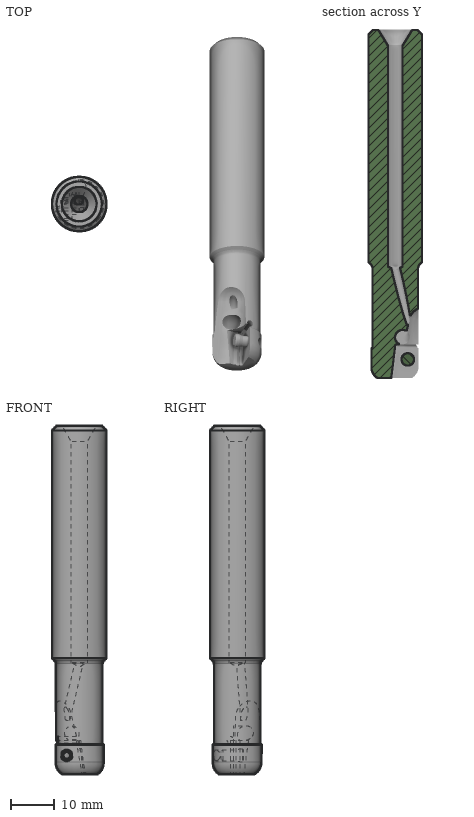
import cadquery as cq
import math

overall_length = 80.92
shank_radius = 12.7 / 2
top_chamfer = 1.1
neck_radius = 5.45
shoulder_z = 27.0
shoulder_fillet = 1.0
head_radius = 5.7
head_top_z = 6.85
head_step = head_radius - neck_radius
nose_start_z = 2.9
nose_mid_radius = 5.3
nose_mid_z = 1.15
nose_end_radius = 4.2

cone_mouth_radius = 4.0
bore_radius = 1.9
cone_half_angle = 30.0
drill_half_angle = 59.0
bore_floor_z = 26.0

flute_floor_x = 1.6
flute_tilt = 14.0
flute_wall_y = -0.6
flute_length = 18.8
flute_corner_radius = 5.1
flute_end_radius = 3.9

seat_floor_y = -1.6
seat_top_z = 7.8
seat_wall_x = 1.0
seat_lean = 7.0
seat_clearance_y = 0.6
seat_clearance_angle = 20.0
seat_groove_bottom_y = -0.85
seat_groove_top_y = -0.24
seat_groove_depth = 0.3

gullet_radius = 1.7
gullet_end_y = 2.3
gullet_tail_y = -0.9
gullet_depth_x = 0.0
relief_radius = 0.75
relief_y = -1.65
relief_z = 8.05

coolant_radius = 0.95
coolant_start = cq.Vector(0, 0.75, bore_floor_z)
coolant_exit = cq.Vector(-2.7, 1.6, 14.5)

screw_x = -2.9
screw_z = 4.4
screw_radius = 1.25
screw_head_radius = 1.5
screw_head_top_y = 1.47
screw_head_rim_y = 0.6
screw_head_base_y = -0.24
screw_head_chamfer = 0.3
screw_tip_y = -3.8
screw_tip_radius = 0.8

reach = 2 * shank_radius
edge_margin = 0.1


def turned_blank():
    """Shank, shoulder, neck and head with its rounded nose, revolved about Z."""
    neck_top_z = shoulder_z - (shank_radius - neck_radius)
    profile = (
        cq.Workplane("XZ")
        .moveTo(0, 0)
        .lineTo(nose_end_radius, 0)
        .threePointArc((nose_mid_radius, nose_mid_z), (head_radius, nose_start_z))
        .lineTo(head_radius, head_top_z)
        .lineTo(neck_radius, head_top_z + head_step)
        .lineTo(neck_radius, neck_top_z)
        .lineTo(shank_radius, shoulder_z)
        .lineTo(shank_radius, overall_length)
        .lineTo(0, overall_length)
        .close()
    )
    blank = profile.revolve(360, (0, 0, 0), (0, 1, 0))
    blank = blank.faces(">Z").edges().chamfer(top_chamfer)
    below_edge = (-reach, -reach, neck_top_z - edge_margin)
    above_edge = (reach, reach, neck_top_z + edge_margin)
    neck_corner = cq.selectors.BoxSelector(below_edge, above_edge, boundingbox=True)
    return blank.edges(neck_corner).fillet(shoulder_fillet)


def centre_bore():
    """Countersunk blind bore with a drill-point floor."""
    cone_depth = (cone_mouth_radius - bore_radius) / math.tan(math.radians(cone_half_angle))
    point_depth = bore_radius / math.tan(math.radians(drill_half_angle))
    return (
        cq.Workplane("XZ")
        .moveTo(0, bore_floor_z - point_depth)
        .lineTo(bore_radius, bore_floor_z)
        .lineTo(bore_radius, overall_length - cone_depth)
        .lineTo(cone_mouth_radius, overall_length)
        .lineTo(0, overall_length)
        .close()
        .revolve(360, (0, 0, 0), (0, 1, 0))
    )


def chip_flute():
    """Open-sided block, rounded along its inner edges and leaned over about Y."""
    block = cq.Workplane("XY").box(reach, reach, flute_length + reach, centered=False)
    block = block.translate((-reach, 0, -reach))
    block = block.edges("|Z and >X and <Y").fillet(flute_corner_radius)
    block = block.faces(">Z").edges("not(<X or >Y)").fillet(flute_end_radius)
    block = block.rotate((0, 0, 0), (0, 1, 0), -flute_tilt)
    return block.translate((flute_floor_x, flute_wall_y, 0))


def insert_seat():
    """Seat with a flat floor, a grooved leaning back wall, and a slanted clearance beside it."""
    slant_run = reach * math.tan(math.radians(seat_clearance_angle))
    groove_x = seat_wall_x + seat_groove_depth
    leaning_cut = (
        cq.Workplane("XY", origin=(0, 0, -reach))
        .moveTo(-reach, seat_floor_y)
        .lineTo(seat_wall_x, seat_floor_y)
        .lineTo(seat_wall_x, seat_groove_bottom_y)
        .lineTo(groove_x, seat_groove_bottom_y)
        .lineTo(groove_x, seat_groove_top_y)
        .lineTo(seat_wall_x, seat_groove_top_y)
        .lineTo(seat_wall_x, seat_clearance_y)
        .lineTo(seat_wall_x - slant_run, seat_clearance_y + reach)
        .lineTo(-reach, seat_clearance_y + reach)
        .close()
        .extrude(2 * reach)
        .rotate((seat_wall_x, 0, 0), (seat_wall_x, 1, 0), -seat_lean)
    )
    head_slice = cq.Workplane("XY").box(2 * reach, 2 * reach, seat_top_z, centered=(True, True, False))
    return leaning_cut.intersect(head_slice)


def chip_gullet():
    """Ball-ended groove along Y, at the upper end of the seat."""
    centre_z = seat_top_z + gullet_radius
    centre_x = gullet_depth_x - gullet_radius
    length = gullet_end_y - gullet_tail_y
    ball_centre = (centre_x, gullet_end_y, centre_z)
    groove = cq.Workplane("XZ", origin=ball_centre).circle(gullet_radius).extrude(length)
    ball = cq.Workplane("XY", origin=ball_centre).sphere(gullet_radius)
    return groove.union(ball)


def corner_relief():
    """Small round relief along X at the upper corner of the seat floor."""
    return (
        cq.Workplane("YZ", origin=(0, relief_y, relief_z))
        .circle(relief_radius)
        .extrude(-reach)
    )


def coolant_passage():
    """Slanted hole from the bore floor that runs out in the flute."""
    run = coolant_exit - coolant_start
    length = run.Length + 2 * coolant_radius
    return cq.Workplane(cq.Solid.makeCylinder(coolant_radius, length, coolant_start, run))


def screw_hole():
    """Through hole for the screw, from the seat floor to the -Y side."""
    return cq.Workplane("XZ", origin=(screw_x, 0, screw_z)).circle(screw_radius).extrude(reach)


def build_holder():
    holder = turned_blank()
    for cut in (
        centre_bore(),
        chip_flute(),
        insert_seat(),
        chip_gullet(),
        corner_relief(),
        coolant_passage(),
        screw_hole(),
    ):
        holder = holder.cut(cut)
    return holder


def build_screw():
    """Screw with a chamfered disc head, a short cone under it and a chamfered tip."""
    tip_chamfer = screw_radius - screw_tip_radius
    profile = (
        cq.Workplane("XY")
        .moveTo(0, screw_tip_y)
        .lineTo(screw_tip_radius, screw_tip_y)
        .lineTo(screw_radius, screw_tip_y + tip_chamfer)
        .lineTo(screw_radius, screw_head_base_y)
        .lineTo(screw_head_radius, screw_head_rim_y)
        .lineTo(screw_head_radius, screw_head_top_y - screw_head_chamfer)
        .lineTo(screw_head_radius - screw_head_chamfer, screw_head_top_y)
        .lineTo(0, screw_head_top_y)
        .close()
    )
    screw = profile.revolve(360, (0, 0, 0), (0, 1, 0))
    return screw.translate((screw_x, 0, screw_z))


holder = build_holder()
screw = build_screw()

result = cq.Compound.makeCompound([holder.val(), screw.val()])